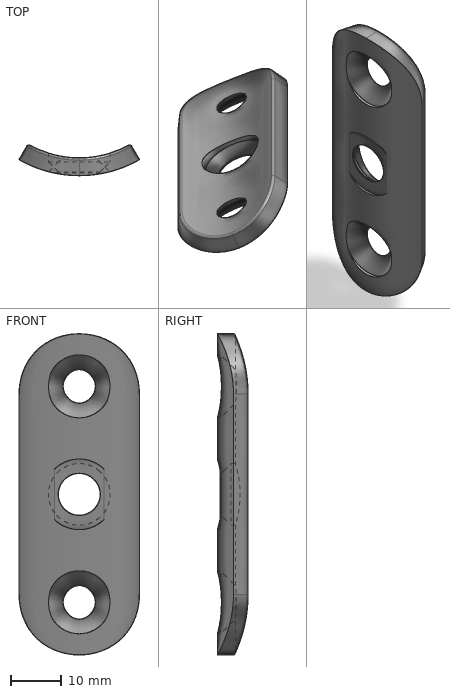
import cadquery as cq
import math

length = 64.0
width = 24.0
outer_radius = 24.0
thickness = 3.6
end_height = 12.0
back_fillet = 0.5

screw_spacing = 43.0
screw_hole_diameter = 6.4
countersink_diameter = 12.55
countersink_rim_depth = 0.65

center_hole_diameter = 8.3
seat_diameter = 14.1
seat_depth = 0.5
land_depth = 0.25
back_bore_diameter = 12.3

inner_radius = outer_radius - thickness
half_angle = math.asin(width / 2 / outer_radius)
straight_half = length / 2 - end_height
cut_end = outer_radius

wall_near = 0.6 * outer_radius
wall_far = 1.1 * outer_radius

points_per_quarter = 12


def rounded_quarter(distance, quarter):
    """A quarter of the rounded ends: half an ellipse wrapped on the bend, seen from its axis.

    Sharing the turn angle as curve parameter keeps the walls between two outlines radial.
    """
    end_shift = straight_half if quarter < 2 else -straight_half
    plane_y = outer_radius - distance
    turns = [math.pi / 2 * (quarter + i / points_per_quarter) for i in range(points_per_quarter + 1)]

    def point(turn):
        x = distance * math.tan(half_angle * math.cos(turn))
        return cq.Vector(x, plane_y, end_shift + end_height * math.sin(turn))

    def tangent(turn):
        return cq.Vector(-distance * half_angle * math.sin(turn), 0, end_height * math.cos(turn))

    return cq.Edge.makeSpline(
        [point(turn) for turn in turns],
        tangents=[tangent(turns[0]), tangent(turns[-1])],
        parameters=turns,
        scale=False,
    )


def radial_outline(distance):
    """Plate outline projected from the bend axis onto the plane at this distance from it."""
    right_top, left_top, left_bottom, right_bottom = [rounded_quarter(distance, q) for q in range(4)]
    left_side = cq.Edge.makeLine(left_top.endPoint(), left_bottom.startPoint())
    right_side = cq.Edge.makeLine(right_bottom.endPoint(), right_top.startPoint())
    return cq.Wire.assembleEdges([right_top, left_top, left_side, left_bottom, right_bottom, right_side])


def curved_plate():
    """Bent sheet with walls square to its surface and a rounded back edge."""
    walls = cq.Solid.makeLoft([radial_outline(wall_far), radial_outline(wall_near)], True)
    tube = (
        cq.Workplane("XY", origin=(0, outer_radius, -length))
        .circle(outer_radius)
        .circle(inner_radius)
        .extrude(2 * length)
    )
    sheet = tube.intersect(cq.Workplane(walls))
    return sheet.faces("%CYLINDER").faces(">Y").edges().fillet(back_fillet)


def bore(diameter, start, end, z=0):
    """Cylinder along Y between two depths."""
    return cq.Workplane("XZ", origin=(0, start, z)).circle(diameter / 2).extrude(start - end)


def cone(start_diameter, end_diameter, start, z=0):
    """45 degree cone along Y from the given depth."""
    height = abs(start_diameter - end_diameter) / 2
    return cq.Workplane(
        cq.Solid.makeCone(
            start_diameter / 2, end_diameter / 2, height, pnt=cq.Vector(0, start, z), dir=cq.Vector(0, 1, 0)
        )
    )


def cut_screw_hole(body, z):
    body = body.cut(bore(screw_hole_diameter, 0, cut_end, z))
    body = body.cut(bore(countersink_diameter, 0, countersink_rim_depth, z))
    return body.cut(cone(countersink_diameter, screw_hole_diameter, countersink_rim_depth, z))


def cut_center_hole(body):
    flare_start = seat_depth + land_depth
    flare_end = flare_start + (back_bore_diameter - center_hole_diameter) / 2
    body = body.cut(bore(seat_diameter, 0, seat_depth))
    body = body.cut(bore(center_hole_diameter, 0, cut_end))
    body = body.cut(cone(center_hole_diameter, back_bore_diameter, flare_start))
    return body.cut(bore(back_bore_diameter, flare_end, cut_end))


plate = curved_plate()
for screw_z in (-screw_spacing / 2, screw_spacing / 2):
    plate = cut_screw_hole(plate, screw_z)
result = cut_center_hole(plate).solids()